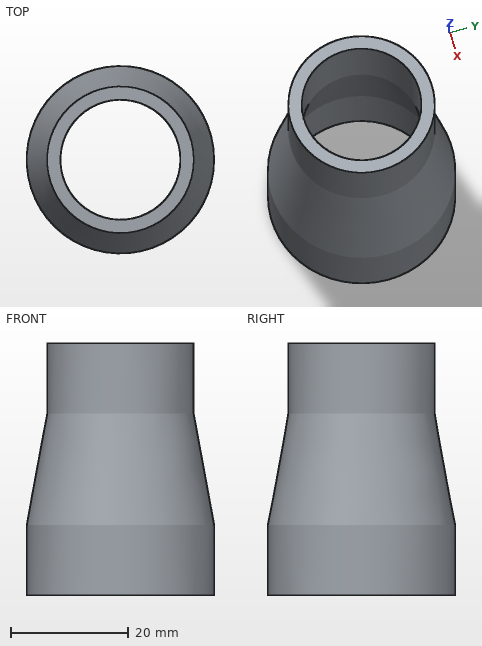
import cadquery as cq
import math

large_diameter = 32.0
small_diameter = 25.0
wall = 2.3
total_height = 43.0
spigot_length = 12.0

large_radius = large_diameter / 2
small_radius = small_diameter / 2
taper_bottom = spigot_length
taper_top = total_height - spigot_length

taper_angle = math.atan2(large_radius - small_radius, taper_top - taper_bottom)
inner_taper_drop = wall * math.tan(taper_angle / 2)


def stepped_solid(lower_radius, upper_radius, cone_bottom, cone_top):
    """Solid of revolution about Z: lower cylinder, cone, upper cylinder."""
    return (
        cq.Workplane("XZ")
        .lineTo(lower_radius, 0)
        .lineTo(lower_radius, cone_bottom)
        .lineTo(upper_radius, cone_top)
        .lineTo(upper_radius, total_height)
        .lineTo(0, total_height)
        .close()
        .revolve(360, (0, 0, 0), (0, 1, 0))
    )


outer_body = stepped_solid(large_radius, small_radius, taper_bottom, taper_top)

passage = stepped_solid(
    large_radius - wall,
    small_radius - wall,
    taper_bottom - inner_taper_drop,
    taper_top - inner_taper_drop,
)

result = outer_body.cut(passage)